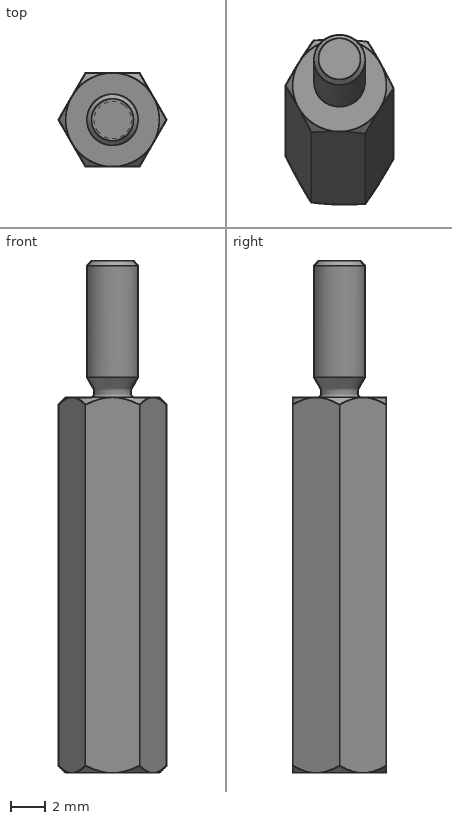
import cadquery as cq
import math

total_height = 30.0
body_height = 22.0
across_flats = 5.5
stud_diameter = 3.0
tip_diameter = 2.45
tip_chamfer_height = 0.3
neck_diameter = 2.2
undercut_height = 1.17
undercut_angle = 30.0
neck_fillet = 0.2

across_corners = across_flats / math.cos(math.radians(30))
corner_chamfer = (across_corners - across_flats) / 2
stud_radius = stud_diameter / 2
tip_radius = tip_diameter / 2
neck_radius = neck_diameter / 2
thread_start = body_height + undercut_height
cone_height = (stud_radius - neck_radius) / math.tan(math.radians(undercut_angle))
neck_top = thread_start - cone_height


def make_body():
    """Hexagonal bar with its corners turned down at 45 degrees on both ends."""
    hexagon = cq.Workplane("XY").polygon(6, across_corners).extrude(body_height)
    turned_envelope = (
        cq.Workplane("XY")
        .circle(across_corners / 2)
        .extrude(body_height)
        .faces("<Z or >Z")
        .chamfer(corner_chamfer)
    )
    return hexagon.intersect(turned_envelope)


def make_stud():
    """Turned stud with a chamfered tip and a conical runout down to the neck."""
    root = body_height / 2
    return (
        cq.Workplane("XZ")
        .moveTo(0, root)
        .lineTo(neck_radius, root)
        .lineTo(neck_radius, neck_top)
        .lineTo(stud_radius, thread_start)
        .lineTo(stud_radius, total_height - tip_chamfer_height)
        .lineTo(tip_radius, total_height)
        .lineTo(0, total_height)
        .close()
        .revolve(360, (0, 0, 0), (0, 1, 0))
    )


def round_neck(part):
    """Round both ends of the neck."""
    margin = 0.03
    neck_zone = cq.selectors.BoxSelector(
        (-stud_radius, -stud_radius, body_height - margin),
        (stud_radius, stud_radius, neck_top + margin),
    )
    neck_edges = part.edges("%CIRCLE").edges(neck_zone).edges(cq.selectors.RadiusNthSelector(0))
    return part.newObject(neck_edges.vals()).fillet(neck_fillet)


result = round_neck(make_body().union(make_stud()))